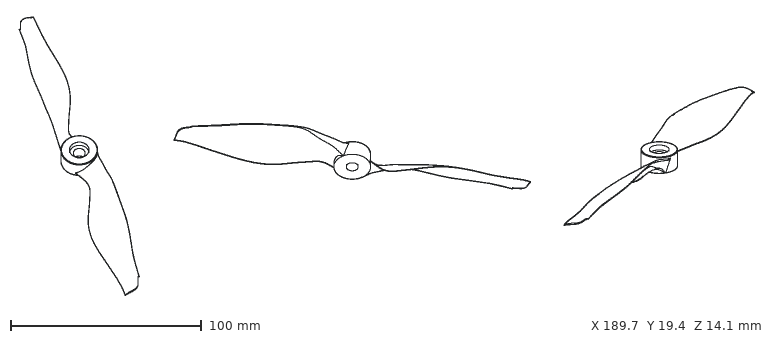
import cadquery as cq

SPAN = 189.7

HUB_RADIUS = 9.7
HUB_HEIGHT = 9.5
HUB_EDGE_CHAMFER = 0.4
SHAFT_DIAMETER = 6.3
SEAT_RADIUS = 5.1
SEAT_DEPTH = 2.8

TIP_RADIUS = SPAN / 2
TRAILING_THICKNESS = 0.4
LEADING_UNDERCUT = 0.2
CAMBER_SHARE = 0.25
BULGE_PROFILE = ((0.12, 0.62), (0.38, 1.0), (0.72, 0.68))

BLADE_SECTIONS = (
    (3.8, 9.0, 8.2, 7.2, -6.8, 1.9, 0.1),
    (9.5, 9.0, 9.0, 6.0, -4.2, 1.5, 0.1),
    (13.8, 9.0, 10.5, 4.4, -1.5, 1.0, 0.1),
    (18.2, 9.0, 11.8, 3.6, -0.4, 0.4, 0.1),
    (22.8, 9.1, 13.3, 2.5, -1.3, 0.0, 0.1),
    (27.5, 9.5, 14.0, 1.1, -3.0, 0.2, 0.1),
    (36.0, 9.5, 13.8, 0.5, -6.5, 0.4, 0.11),
    (49.3, 9.5, 12.3, 0.5, -9.5, 1.1, 0.12),
    (64.5, 7.8, 10.6, 0.5, -8.3, 2.0, 0.11),
    (79.7, 5.7, 8.3, 0.5, -5.9, 3.2, 0.1),
    (TIP_RADIUS, 2.7, 5.7, 0.4, -4.7, 3.8, 0.08),
)

TIP_ROUND_START = (87.3, 4.7)
TIP_ROUND_POINTS = ((89.7, 4.0), (92.2, 3.0), (93.7, 1.1), (94.3, -1.9))
TIP_ROUND_END = (TIP_RADIUS, -4.7)
TIP_TRIM_REACH = 9.5
TIP_TRIM_HEIGHT = 19.0


def blade_section(distance, lead_y, lead_top, lead_height, trail_y, trail_bottom, bulge):
    """Cambered wire with a blunt leading face and a thin trailing face."""
    lead_bottom = lead_top - lead_height
    trail_top = trail_bottom + TRAILING_THICKNESS
    lead_bottom_y = lead_y - LEADING_UNDERCUT * lead_height
    chord_y = trail_y - lead_y
    chord_z = trail_top - lead_top

    def bulged(start_y, start_z, end_z, bulge_share):
        points = []
        for fraction, height in BULGE_PROFILE:
            rise = bulge * bulge_share * height
            y = start_y + fraction * (trail_y - start_y) + rise * chord_z
            z = start_z + fraction * (end_z - start_z) - rise * chord_y
            points.append((y, z))
        return points

    upper = bulged(lead_y, lead_top, trail_top, 1.0)
    lower = bulged(lead_bottom_y, lead_bottom, trail_bottom, CAMBER_SHARE)
    return (
        cq.Workplane("YZ", origin=(distance, 0, 0))
        .moveTo(lead_y, lead_top)
        .spline(upper + [(trail_y, trail_top)], includeCurrent=True)
        .lineTo(trail_y, trail_bottom)
        .spline(lower[::-1] + [(lead_bottom_y, lead_bottom)], includeCurrent=True)
        .close()
        .val()
    )


def tip_trim():
    """Block outside the rounded tip."""
    outer_x = TIP_RADIUS + TIP_TRIM_REACH
    outer_y = TIP_ROUND_START[1] + TIP_TRIM_REACH
    return (
        cq.Workplane("XY")
        .moveTo(*TIP_ROUND_START)
        .spline(list(TIP_ROUND_POINTS) + [TIP_ROUND_END], includeCurrent=True)
        .lineTo(outer_x, TIP_ROUND_END[1])
        .lineTo(outer_x, outer_y)
        .lineTo(TIP_ROUND_START[0], outer_y)
        .close()
        .extrude(TIP_TRIM_HEIGHT)
    )


def blade():
    """Twisted blade pointing along +X."""
    wires = [blade_section(*section) for section in BLADE_SECTIONS]
    return cq.Workplane(cq.Solid.makeLoft(wires)).cut(tip_trim())


hub = cq.Workplane("XY").circle(HUB_RADIUS).extrude(HUB_HEIGHT).faces(">Z").chamfer(HUB_EDGE_CHAMFER)
shaft_hole = cq.Workplane("XY").circle(SHAFT_DIAMETER / 2).extrude(HUB_HEIGHT)
seat = cq.Workplane("XY", origin=(0, 0, HUB_HEIGHT - SEAT_DEPTH)).circle(SEAT_RADIUS).extrude(SEAT_DEPTH)

right_blade = blade()
left_blade = right_blade.rotate((0, 0, 0), (0, 0, 1), 180)
result = hub.union(right_blade).union(left_blade).cut(shaft_hole).cut(seat)